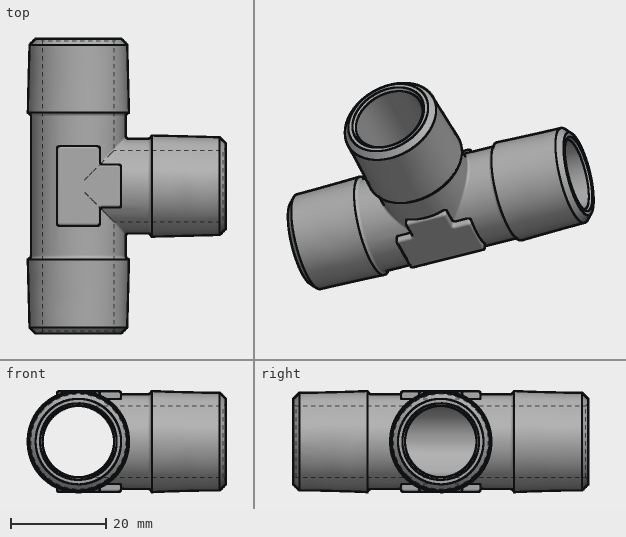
import cadquery as cq
import math

run_length = 62.0
arm_length = run_length / 2
body_radius = 10.0
bore_radius = 7.5
mouth_chamfer = 0.55
junction_fillet = 0.5

collar_radius = 10.65
tip_radius = 10.3
spigot_length = 15.55
end_chamfer = 1.3
shoulder_angle = 30
shoulder_fillet = 0.6

pad_top = 10.6
pad_half_width = 4.5
pad_half_length = 8.4
pad_reach = 9.0
pad_corner_fillet = 0.55
pad_top_fillet = 0.55


def revolve_about_y(profile):
    """Full turn about the Y axis of a half section given as (radius, place along Y)."""
    return cq.Workplane("XY").polyline(profile).close().revolve(360, (0, 0, 0), (0, 1, 0))


def arm():
    """Solid arm along +Y, from the origin out to its end face."""
    collar_place = arm_length - spigot_length
    shoulder_run = (collar_radius - body_radius) * math.tan(math.radians(shoulder_angle))
    shoulder_foot = collar_place - shoulder_run
    solid = revolve_about_y([
        (0, 0),
        (body_radius, 0),
        (body_radius, shoulder_foot),
        (collar_radius, collar_place),
        (tip_radius, arm_length - end_chamfer),
        (tip_radius - end_chamfer, arm_length),
        (0, arm_length),
    ])
    foot_edge = cq.selectors.NearestToPointSelector((0, shoulder_foot, 0))
    return solid.edges(foot_edge).fillet(shoulder_fillet)


def arm_bore():
    """Bore of one arm along +Y, widened by a chamfer at its mouth."""
    return revolve_about_y([
        (0, 0),
        (bore_radius, 0),
        (bore_radius, arm_length - mouth_chamfer),
        (bore_radius + mouth_chamfer, arm_length),
        (0, arm_length),
    ])


def tee(arm_shape):
    """Join three copies of a shape made along +Y: one each along +Y, -Y and +X."""
    joined = arm_shape
    for angle in (180, -90):
        joined = joined.union(arm_shape.rotate((0, 0, 0), (0, 0, 1), angle))
    return joined


def pad():
    """T-shaped pad rising from the middle plane, with its upright and top edges rounded."""
    outline = [
        (-pad_half_width, -pad_half_length),
        (pad_half_width, -pad_half_length),
        (pad_half_width, -pad_half_width),
        (pad_reach, -pad_half_width),
        (pad_reach, pad_half_width),
        (pad_half_width, pad_half_width),
        (pad_half_width, pad_half_length),
        (-pad_half_width, pad_half_length),
    ]
    block = cq.Workplane("XY").polyline(outline).close().extrude(pad_top)
    return block.edges("|Z").fillet(pad_corner_fillet).faces(">Z").edges().fillet(pad_top_fillet)


def round_junction(body):
    """Round the two elliptical seams between run and branch where the pads leave them exposed."""
    junction_box = cq.selectors.BoxSelector(
        (pad_half_width, -collar_radius, -collar_radius),
        (collar_radius, collar_radius, collar_radius),
    )
    return body.edges("%ELLIPSE").edges(junction_box).fillet(junction_fillet)


top_pad = pad()
bottom_pad = top_pad.mirror("XY")
solid_tee = round_junction(tee(arm()).union(top_pad).union(bottom_pad))
result = solid_tee.cut(tee(arm_bore()))